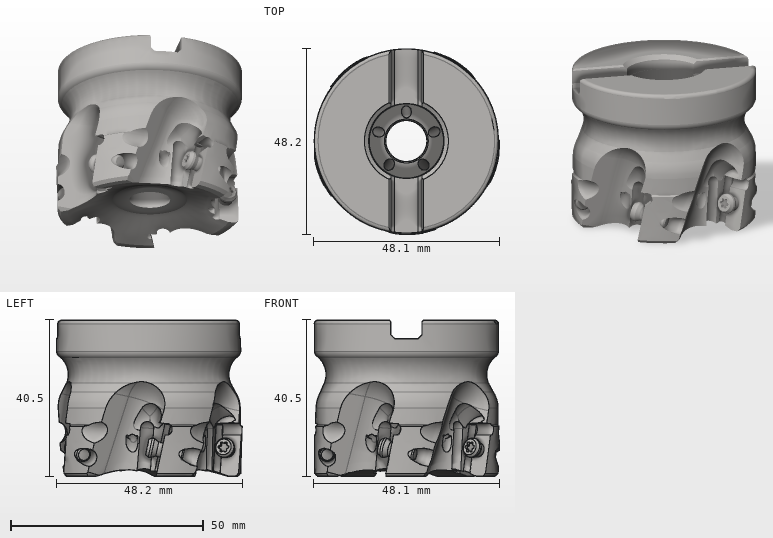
import cadquery as cq
import math

TOOTH_COUNT = 5
FIRST_TOOTH_ANGLE = 36.0
HEIGHT = 40.5
COLLAR_RADIUS = 23.9
COLLAR_BOTTOM = 32.43
TOP_ROUND = 1.0
COLLAR_EDGE = (23.55, 31.5)
WAIST_TOP = (22.8, 30.85)
WAIST = (20.85, 26.75)
WAIST_BOTTOM = (21.25, 24.3)
SHOULDER_TOP = (22.55, 21.83)
SHOULDER = (23.45, 19.85)
SHOULDER_RADIUS = 23.8
SHOULDER_BOTTOM = 17.75
TOOTH_TIP_RADIUS = 23.9
TOOTH_TOP_RADIUS = 24.3
TOOTH_EDGE_Z = 12.95
TOOTH_TOP = 13.3
TOOTH_CHAMFER = 0.8

BORE_RADIUS = 9.65
BORE_FLOOR = 22.15
BAND_TOP = 36.85
BAND_BOTTOM = 28.45
BAND_CLEARANCE = 0.15
BORE_CHAMFER = 1.1
PILOT_RADIUS = 5.3
PILOT_CHAMFER = 0.4
SLOT_WIDTH = 8.05
SLOT_DEPTH = 4.75
SLOT_FLOOR_CHAMFER = 0.95
SLOT_EDGE_CHAMFER = 0.45
DISH_RADIUS = 21.2
DISH_INNER_RADIUS = 9.65
DISH_DEPTH = 3.85

FLUTE_RADIUS = 6.35
FLUTE_BALL = cq.Vector(23.9, -2.1, 18.9)
FLUTE_AXIS = cq.Vector(0.16, 0.32, 1.0).normalized()
FLUTE_FLOOR_SWEEP = cq.Vector(0.5, -0.86, 0.0)
FLUTE_WALL_SWEEP = cq.Vector(1.0, 0.0, 0.0)
FLUTE_LENGTH = 33.75
SWEEP_LENGTH = 14.45

SEAT_OFFSET = 1.95
AXIAL_RAKE = 12.2
POCKET_INNER = 17.1
POCKET_TOP = 13.5
CORNER_RELIEF_Z = 12.25
POCKET_WIDTH = 4.8
CORNER_RELIEF_RADIUS = 1.55
CORNER_RELIEF_START = 18.3
SEAT_GROOVE_RADIUS = 0.95
SEAT_GROOVE_X = 17.85
WALL_GROOVE_RADIUS = 1.75
WALL_GROOVE_TOP = cq.Vector(16.85, -0.4, 12.55)
WALL_GROOVE_AXIS = cq.Vector(0.0, -0.08, -1.0)

RELIEF_RADIUS = 3.0
RELIEF_BALL = cq.Vector(19.18, 0.05, 16.15)
RELIEF_FLOOR_AXIS = cq.Vector(0.06, -0.7, -0.7)
RELIEF_FLOOR_LENGTH = 5.8
RELIEF_SEAT_AXIS = cq.Vector(0.2, 0.7, -0.7)
RELIEF_SEAT_LENGTH = 3.85

HEEL_NOTCH_RADIUS = 3.0
HEEL_NOTCH_CENTER = cq.Vector(19.55, 15.7, 11.3)
HEEL_NOTCH_AXIS = cq.Vector(0.85, -0.53, 0.07)
HEEL_NOTCH_LENGTH = 17.35

HEEL_BEVEL_OUTER = cq.Vector(18.2, -16.53, 1.05)
HEEL_BEVEL_INNER = cq.Vector(15.7, -11.3, 0.6)
HEEL_BEVEL_SLOPE = 48.0
HEEL_BEVEL_SIZE = 9.65

COOLANT_RADIUS = 1.275
COOLANT_INLET_RADIUS = 7.55
COOLANT_INLET_ANGLE = -18.0
COOLANT_OUTLET = cq.Vector(16.85, -4.5, 7.7)
OUTLET_RADIUS = 1.6
OUTLET_DEPTH = 2.9
OUTLET_AXIS = cq.Vector(0.48, -0.1, -1.0)

SCREW_X = 20.52
SCREW_Z = 6.85
SHANK_RADIUS = 1.9
SHANK_LENGTH = 5.75
TIP_CHAMFER = 0.4
HEAD_RADIUS = 2.55
HEAD_TOP = 3.85
HEAD_FACE_RADIUS = 2.05
HEAD_EDGE = 3.05
HEAD_UNDERSIDE = 2.4
NECK = 1.2
SOCKET_DEPTH = 0.95
SOCKET_CORE_RADIUS = 1.05
SOCKET_LOBE_RADIUS = 0.4
SOCKET_LOBES = 6
CLEARANCE_RADIUS = 2.2
CLEARANCE_START = 3.35
CLEARANCE_LENGTH = 14.45

OVERSHOOT = 1.95
REACH = 28.9

rake = math.radians(AXIAL_RAKE)
seat_normal = cq.Vector(0, -math.cos(rake), math.sin(rake))
seat_up = cq.Vector(0, math.sin(rake), math.cos(rake))
radial = cq.Vector(1, 0, 0)


def seat_point(x, z):
    """Point of the seat plane at radial position x and height z."""
    return cq.Vector(x, SEAT_OFFSET + z * math.tan(rake), z)


def rod(radius, start, direction, length):
    """Cylinder along a direction from the center of its first end."""
    return cq.Workplane(cq.Solid.makeCylinder(radius, length, start, direction))


def ball(radius, center):
    """Sphere about a center."""
    return cq.Workplane("XY").sphere(radius).translate(center)


def make_blank():
    """Revolved outside of the cutter, without the bore."""
    return (
        cq.Workplane("XZ")
        .moveTo(0, 0)
        .lineTo(TOOTH_TIP_RADIUS - TOOTH_CHAMFER, 0)
        .lineTo(TOOTH_TIP_RADIUS, TOOTH_CHAMFER)
        .lineTo(TOOTH_TOP_RADIUS, TOOTH_EDGE_Z)
        .lineTo(SHOULDER_RADIUS, TOOTH_TOP)
        .lineTo(SHOULDER_RADIUS, SHOULDER_BOTTOM)
        .threePointArc(SHOULDER, SHOULDER_TOP)
        .lineTo(*WAIST_BOTTOM)
        .threePointArc(WAIST, WAIST_TOP)
        .threePointArc(COLLAR_EDGE, (COLLAR_RADIUS, COLLAR_BOTTOM))
        .lineTo(COLLAR_RADIUS, HEIGHT - TOP_ROUND)
        .radiusArc((COLLAR_RADIUS - TOP_ROUND, HEIGHT), -TOP_ROUND)
        .lineTo(0, HEIGHT)
        .close()
        .revolve(360, (0, 0, 0), (0, 1, 0))
    )


def make_bore():
    """Stepped bore with its chamfers and the conical dish under the teeth."""
    clear_radius = BORE_RADIUS + BAND_CLEARANCE
    return (
        cq.Workplane("XZ")
        .lineTo(DISH_RADIUS, 0)
        .lineTo(DISH_INNER_RADIUS, DISH_DEPTH)
        .lineTo(PILOT_RADIUS, DISH_DEPTH)
        .lineTo(PILOT_RADIUS, BORE_FLOOR - PILOT_CHAMFER)
        .lineTo(PILOT_RADIUS + PILOT_CHAMFER, BORE_FLOOR)
        .lineTo(clear_radius, BORE_FLOOR)
        .lineTo(clear_radius, BAND_BOTTOM)
        .lineTo(BORE_RADIUS, BAND_BOTTOM)
        .lineTo(BORE_RADIUS, BAND_TOP)
        .lineTo(clear_radius, BAND_TOP)
        .lineTo(clear_radius, HEIGHT - BORE_CHAMFER)
        .lineTo(clear_radius + BORE_CHAMFER, HEIGHT)
        .lineTo(0, HEIGHT)
        .close()
        .revolve(360, (0, 0, 0), (0, 1, 0))
    )


def make_driving_slot():
    """Slot across the top, along Y, with bevels at its floor and its upper edges."""
    half = SLOT_WIDTH / 2
    floor = HEIGHT - SLOT_DEPTH
    right = [
        (half - SLOT_FLOOR_CHAMFER, floor),
        (half, floor + SLOT_FLOOR_CHAMFER),
        (half, HEIGHT - SLOT_EDGE_CHAMFER),
        (half + SLOT_EDGE_CHAMFER, HEIGHT),
    ]
    left = [(-x, z) for x, z in reversed(right)]
    return cq.Workplane("XZ").polyline(right + left).close().extrude(REACH, both=True)


def flute_sweep(direction):
    """Room cleared when the flute tool moves sideways from its final place."""
    side = direction - FLUTE_AXIS * direction.dot(FLUTE_AXIS)
    side = side.normalized()
    slab = (
        cq.Workplane(cq.Plane(FLUTE_BALL, side, FLUTE_AXIS))
        .rect(SWEEP_LENGTH, 2 * FLUTE_RADIUS)
        .extrude(-FLUTE_LENGTH)
        .translate(side * (SWEEP_LENGTH / 2))
    )
    return slab.union(rod(FLUTE_RADIUS, FLUTE_BALL, side, SWEEP_LENGTH))


def make_flute():
    """Ball-ended tool in its final place with the room it clears on both sides."""
    tip = ball(FLUTE_RADIUS, FLUTE_BALL)
    shaft = rod(FLUTE_RADIUS, FLUTE_BALL, -FLUTE_AXIS, FLUTE_LENGTH)
    floor_room = flute_sweep(FLUTE_FLOOR_SWEEP)
    wall_room = flute_sweep(FLUTE_WALL_SWEEP)
    return tip.union(shaft).union(floor_room).union(wall_room)


def make_insert_pocket():
    """Seat with its wall, corner relief and grooves."""
    pocket = (
        cq.Workplane(cq.Plane(seat_point(POCKET_INNER, POCKET_TOP), radial, seat_normal))
        .rect(REACH, 2 * REACH, centered=False)
        .extrude(POCKET_WIDTH)
        .translate(seat_up * (-2 * REACH))
    )
    corner = rod(CORNER_RELIEF_RADIUS, seat_point(CORNER_RELIEF_START, CORNER_RELIEF_Z), radial, REACH)
    seat_groove = rod(
        SEAT_GROOVE_RADIUS, seat_point(SEAT_GROOVE_X, POCKET_TOP), -seat_up, REACH
    )
    wall_groove = rod(WALL_GROOVE_RADIUS, WALL_GROOVE_TOP, WALL_GROOVE_AXIS, REACH)
    wall_groove = wall_groove.union(ball(WALL_GROOVE_RADIUS, WALL_GROOVE_TOP))
    return pocket.union(corner).union(seat_groove).union(wall_groove)


def make_relief():
    """Elbow with a ball at the bend: one leg runs into the flute floor, the other to the seat."""
    bend = ball(RELIEF_RADIUS, RELIEF_BALL)
    floor_leg = rod(RELIEF_RADIUS, RELIEF_BALL, RELIEF_FLOOR_AXIS, RELIEF_FLOOR_LENGTH)
    seat_leg = rod(RELIEF_RADIUS, RELIEF_BALL, RELIEF_SEAT_AXIS, RELIEF_SEAT_LENGTH)
    return bend.union(floor_leg).union(seat_leg)


def make_heel_notch():
    """Round tool path that runs out of the tooth at both ends."""
    axis = HEEL_NOTCH_AXIS.normalized()
    start = HEEL_NOTCH_CENTER - axis * (HEEL_NOTCH_LENGTH / 2)
    return rod(HEEL_NOTCH_RADIUS, start, axis, HEEL_NOTCH_LENGTH)


def make_heel_bevel():
    """Block under a plane that falls from the flute edge into the heel."""
    edge = (HEEL_BEVEL_INNER - HEEL_BEVEL_OUTER).normalized()
    level = cq.Vector(0, 0, 1).cross(edge).normalized()
    slope = math.radians(HEEL_BEVEL_SLOPE)
    downhill = level * math.cos(slope) - cq.Vector(0, 0, math.sin(slope))
    below = downhill.cross(edge)
    return (
        cq.Workplane(cq.Plane(HEEL_BEVEL_INNER, edge, below))
        .center(-HEEL_BEVEL_SIZE / 2, 0)
        .rect(HEEL_BEVEL_SIZE, HEEL_BEVEL_SIZE)
        .extrude(HEEL_BEVEL_SIZE / 2)
    )


def make_coolant_channel():
    """Channel from the bore floor that widens and steepens at its outlet."""
    angle = math.radians(COOLANT_INLET_ANGLE)
    inlet = cq.Vector(
        COOLANT_INLET_RADIUS * math.cos(angle), COOLANT_INLET_RADIUS * math.sin(angle), BORE_FLOOR
    )
    path = COOLANT_OUTLET - inlet
    start = inlet - path.normalized() * OVERSHOOT
    channel = rod(COOLANT_RADIUS, start, path, path.Length)
    outlet_start = COOLANT_OUTLET - OUTLET_AXIS.normalized() * OUTLET_DEPTH
    return channel.union(rod(OUTLET_RADIUS, outlet_start, OUTLET_AXIS, 2 * OUTLET_DEPTH))


def make_screw_hole():
    """Hole that fits the shank, with clearance around the screw tip."""
    seat = seat_point(SCREW_X, SCREW_Z)
    hole = rod(SHANK_RADIUS, seat, -seat_normal, CLEARANCE_START)
    clearance = rod(
        CLEARANCE_RADIUS, seat - seat_normal * CLEARANCE_START, -seat_normal, CLEARANCE_LENGTH
    )
    return hole.union(clearance)


def make_screw():
    """Clamping screw in the tooth frame."""
    origin = seat_point(SCREW_X, SCREW_Z)
    body = (
        cq.Workplane(cq.Plane(origin, radial, radial.cross(seat_normal)))
        .moveTo(0, -SHANK_LENGTH)
        .lineTo(SHANK_RADIUS - TIP_CHAMFER, -SHANK_LENGTH)
        .lineTo(SHANK_RADIUS, TIP_CHAMFER - SHANK_LENGTH)
        .lineTo(SHANK_RADIUS, NECK)
        .lineTo(HEAD_RADIUS, HEAD_UNDERSIDE)
        .lineTo(HEAD_RADIUS, HEAD_EDGE)
        .lineTo(HEAD_FACE_RADIUS, HEAD_TOP)
        .lineTo(0, HEAD_TOP)
        .close()
        .revolve(360, (0, 0, 0), (0, 1, 0))
    )
    face = cq.Workplane(cq.Plane(origin + seat_normal * HEAD_TOP, radial, seat_normal))
    core = face.circle(SOCKET_CORE_RADIUS).extrude(-SOCKET_DEPTH)
    lobes = (
        face.polarArray(SOCKET_CORE_RADIUS, 0, 360, SOCKET_LOBES)
        .circle(SOCKET_LOBE_RADIUS)
        .extrude(-SOCKET_DEPTH)
    )
    return body.cut(core).cut(lobes)


def place(shape, index):
    """Turn a shape from the tooth frame to one of the teeth."""
    angle = FIRST_TOOTH_ANGLE + index * 360 / TOOTH_COUNT
    return shape.rotate((0, 0, 0), (0, 0, 1), angle)


tooth_cuts = [
    make_flute(),
    make_insert_pocket(),
    make_relief(),
    make_heel_notch(),
    make_heel_bevel(),
    make_coolant_channel(),
    make_screw_hole(),
]
cutter = make_blank().cut(make_bore()).cut(make_driving_slot())
for tooth in range(TOOTH_COUNT):
    for cut in tooth_cuts:
        cutter = cutter.cut(place(cut, tooth))

screw = make_screw()
screws = [place(screw, tooth).val() for tooth in range(TOOTH_COUNT)]

result = cq.Compound.makeCompound([cutter.val(), *screws])